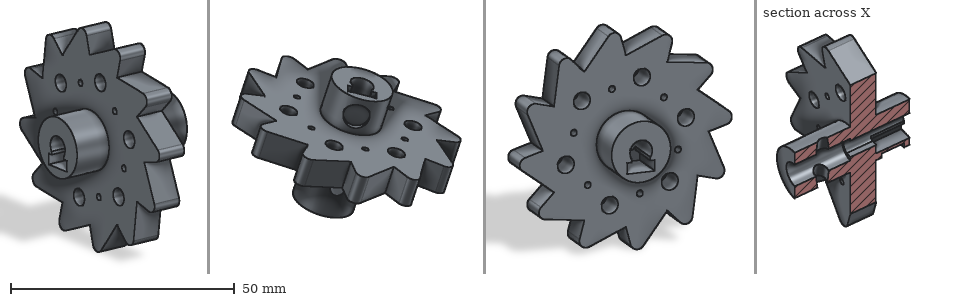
import cadquery as cq
import math

disc_thickness = 7.0
tooth_count = 12
root_radius = 20.0
short_flank_angle = 15.0
long_flank_angle = 22.6
tip_radius = 1.75

large_hole_diameter = 4.0
large_hole_circle_radius = 15.0
large_hole_start_angle = 15.0
small_hole_diameter = 1.5
small_hole_circle_radius = 13.0
small_hole_start_angle = 45.0
holes_per_circle = 6

hub_diameter = 14.2
front_hub_length = 9.0
rear_hub_length = 15.0
hub_front = -front_hub_length
hub_rear = disc_thickness + rear_hub_length

bore_diameter = 5.35
bore_flat_offset = 2.25
rear_bore_diameter = 6.6
pocket_width = 6.7
pocket_bottom = -4.8
pocket_neck_width = 4.5

cross_hole_diameter = 3.5
cross_hole_tilt = 10.0
seat_diameter = 6.0
seat_depth = 1.3


def polar(radius, angle):
    """Point (x, z) at an angle in degrees from +X toward +Z."""
    turn = math.radians(angle)
    return radius * math.cos(turn), radius * math.sin(turn)


def rod(diameter, y_start, y_end, x=0, z=0):
    """Cylinder along Y."""
    return cq.Workplane(cq.Solid.makeCylinder(
        diameter / 2, y_end - y_start, cq.Vector(x, y_start, z), cq.Vector(0, 1, 0)))


def block(width, y_start, y_end, z_bottom, z_top):
    """Box centred on X = 0."""
    return cq.Workplane("XY").box(
        width, y_end - y_start, z_top - z_bottom, centered=(True, False, False)
    ).translate((0, y_start, z_bottom))


def toothed_disc():
    pitch = 360 / tooth_count
    root_chord = 2 * root_radius * math.sin(math.radians(pitch / 2))
    long_to_chord = math.radians(long_flank_angle + pitch / 2)
    tip_angle = math.radians(90 + short_flank_angle - pitch - long_flank_angle)
    short_flank_length = root_chord * math.sin(long_to_chord) / math.sin(tip_angle)

    points = []
    for tooth in range(tooth_count):
        angle = tooth * pitch
        root_x, root_z = polar(root_radius, angle)
        step_x, step_z = polar(short_flank_length, angle + short_flank_angle)
        points.append((root_x, root_z))
        points.append((root_x + step_x, root_z + step_z))
    disc = cq.Workplane("XZ").polyline(points).close().extrude(-disc_thickness)

    sharp_radius = math.hypot(*points[1])
    middle_radius = (root_radius + sharp_radius) / 2
    tip_edges = [
        edge for edge in disc.edges("|Y").vals()
        if math.hypot(edge.Center().x, edge.Center().z) > middle_radius
    ]
    return disc.newObject(tip_edges).fillet(tip_radius)


def hole_circle(diameter, circle_radius, start_angle):
    holes = cq.Workplane("XY")
    for index in range(holes_per_circle):
        x, z = polar(circle_radius, start_angle + index * 360 / holes_per_circle)
        holes = holes.add(rod(diameter, 0, disc_thickness, x, z))
    return holes.combine()


def centre_opening():
    bore = rod(bore_diameter, hub_front, disc_thickness).intersect(
        block(bore_diameter, hub_front, disc_thickness, -bore_flat_offset, bore_diameter / 2))
    rear_bore = rod(rear_bore_diameter, disc_thickness, hub_rear)
    pocket = block(pocket_width, hub_front, 0, pocket_bottom, -bore_flat_offset)
    neck = block(pocket_neck_width, hub_front, 0, -bore_flat_offset, 0)
    return bore.union(rear_bore).union(pocket).union(neck)


def cross_hole():
    """Tilted hole through both walls of the rear hub, halfway along it."""
    hole = cq.Workplane("XY").circle(cross_hole_diameter / 2).extrude(hub_diameter, both=True)
    hole = hole.rotate((0, 0, 0), (0, 1, 0), -cross_hole_tilt)
    return hole.translate((0, disc_thickness + rear_hub_length / 2, 0))


def screw_seat():
    """Blind round recess in the underside of the front hub, halfway along it."""
    return (
        cq.Workplane("XY").circle(seat_diameter / 2).extrude(seat_depth)
        .translate((0, hub_front / 2, -hub_diameter / 2))
    )


result = toothed_disc().union(rod(hub_diameter, hub_front, hub_rear))
result = result.cut(hole_circle(large_hole_diameter, large_hole_circle_radius, large_hole_start_angle))
result = result.cut(hole_circle(small_hole_diameter, small_hole_circle_radius, small_hole_start_angle))
result = result.cut(centre_opening())
result = result.cut(cross_hole())
result = result.cut(screw_seat())